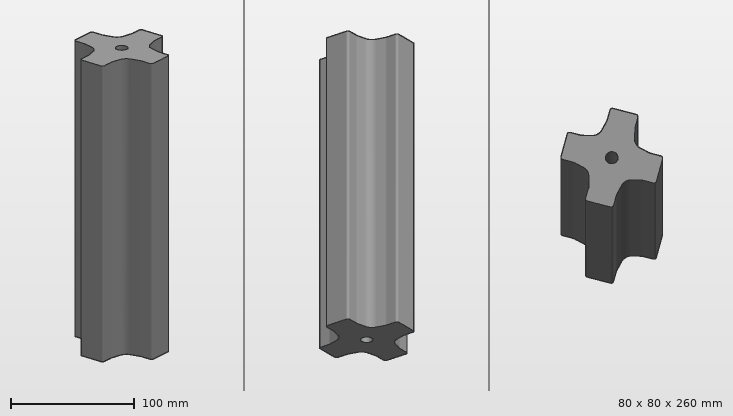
import math

import cadquery as cq

SPAN = 80.0
LENGTH = 260.0
ARM_WIDTH = 23.4
FLARE_START = 28.8
ROOT_OFFSET = 15.0
ROOT_RADIUS = 8.8
FLARE_RADIUS = 4.0
TIP_RADIUS = 2.0
BORE_DIAMETER = 10.0

ARM_COUNT = 4

half_span = SPAN / 2
half_width = ARM_WIDTH / 2

tip_corner = (half_span, half_width)
flare_corner = (FLARE_START, half_width)
root_corner = (ROOT_OFFSET, ROOT_OFFSET)


def quarter_turns(point, turns):
    """Rotate an XY point about the origin by a whole number of quarter turns."""
    x, y = point
    for _ in range(turns):
        x, y = -y, x
    return x, y


def mirrored(point):
    """Mirror an XY point in the diagonal plane X = Y."""
    x, y = point
    return y, x


def cross_outline():
    """Sharp-cornered cross: each quarter runs from one arm's tip, past a root, to the next tip."""
    quarter = [
        tip_corner,
        flare_corner,
        root_corner,
        mirrored(flare_corner),
        mirrored(tip_corner),
    ]
    return [quarter_turns(point, turns) for turns in range(ARM_COUNT) for point in quarter]


def fillet_corners(bar, corner, radius):
    """Fillet every upright edge that lies as far from the axis as the given corner."""
    tolerance = 1e-3
    corner_distance = math.hypot(*corner)
    edges = []
    for edge in bar.edges("|Z").vals():
        centre = edge.Center()
        if abs(math.hypot(centre.x, centre.y) - corner_distance) < tolerance:
            edges.append(edge)
    return bar.newObject(edges).fillet(radius)


def cross_bar():
    """Extruded cross with rounded arm corners, flares and roots."""
    bar = cq.Workplane("XY").polyline(cross_outline()).close().extrude(LENGTH)
    bar = fillet_corners(bar, tip_corner, TIP_RADIUS)
    bar = fillet_corners(bar, flare_corner, FLARE_RADIUS)
    return fillet_corners(bar, root_corner, ROOT_RADIUS)


def axial_bore():
    """Cylinder that clears the full length of the bar on its axis."""
    return cq.Workplane("XY").circle(BORE_DIAMETER / 2).extrude(LENGTH)


result = cross_bar().cut(axial_bore())